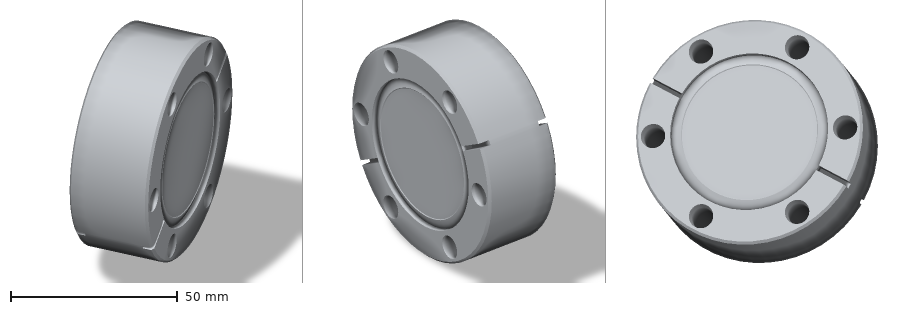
import cadquery as cq
import math

flange_diameter = 69.34
flange_thickness = 25.4
rim_chamfer = 0.76

recess_diameter = 48.3
recess_wall_lean = 0.15
knife_diameter = 41.9
knife_tip_depth = 0.65
knife_slope_angle = 20.0
knife_inner_lean = 0.25
centre_floor_depth = 0.85

bolt_count = 6
bolt_circle_diameter = 58.7
bolt_hole_diameter = 6.7
bolt_mouth_diameter = 7.45
bolt_mouth_depth = 3.0

groove_angle = 30.0
groove_count = 2
groove_width = 1.6
groove_depth = 3.5

half_thickness = flange_thickness / 2
flange_radius = flange_diameter / 2
recess_radius = recess_diameter / 2
knife_radius = knife_diameter / 2


def make_body():
    """Plain disc with chamfered rims."""
    disc = cq.Workplane("YZ", origin=(-half_thickness, 0, 0)).circle(flange_radius).extrude(flange_thickness)
    return disc.faces("<X or >X").edges().chamfer(rim_chamfer)


def make_seal_recess():
    """Material removed around the knife edge on the -X face, revolved about the X axis."""
    recess_bottom_radius = recess_radius - recess_wall_lean
    slope_drop = (recess_bottom_radius - knife_radius) * math.tan(math.radians(knife_slope_angle))
    face_x = -half_thickness
    knife_x = face_x + knife_tip_depth
    profile = (
        cq.Workplane("XY")
        .moveTo(face_x, 0)
        .lineTo(face_x, recess_radius)
        .lineTo(knife_x + slope_drop, recess_bottom_radius)
        .lineTo(knife_x, knife_radius)
        .lineTo(face_x + centre_floor_depth, knife_radius - knife_inner_lean)
        .lineTo(face_x + centre_floor_depth, 0)
        .close()
    )
    return profile.revolve(360, (0, 0, 0), (1, 0, 0))


def make_bolt_mouths():
    """Tapered mouths of the bolt holes on the -X face."""
    taper = math.degrees(math.atan((bolt_mouth_diameter - bolt_hole_diameter) / 2 / bolt_mouth_depth))
    return (
        cq.Workplane("YZ", origin=(-half_thickness, 0, 0))
        .polarArray(bolt_circle_diameter / 2, 0, 360, bolt_count)
        .circle(bolt_mouth_diameter / 2)
        .extrude(bolt_mouth_depth, taper=taper)
    )


def make_bolt_holes():
    """Bolt holes through the full thickness."""
    return (
        cq.Workplane("YZ", origin=(-half_thickness, 0, 0))
        .polarArray(bolt_circle_diameter / 2, 0, 360, bolt_count)
        .circle(bolt_hole_diameter / 2)
        .extrude(flange_thickness)
    )


def make_leak_groove(angle):
    """Radial groove on the -X face, from the wall of the seal recess out through the rim."""
    bar = cq.Workplane("XY").box(groove_depth, flange_radius, groove_width, centered=(False, False, True))
    bar = bar.translate((-half_thickness, 0, 0)).rotate((0, 0, 0), (1, 0, 0), angle)
    core = cq.Workplane("YZ", origin=(-half_thickness, 0, 0)).circle(recess_radius).extrude(groove_depth)
    return bar.cut(core)


def cut_both_faces(body, cutter):
    """Cut a -X face feature and its mirror image on the +X face."""
    return body.cut(cutter).cut(cutter.mirror("YZ"))


result = make_body().cut(make_bolt_holes())
result = cut_both_faces(result, make_seal_recess())
result = cut_both_faces(result, make_bolt_mouths())
for index in range(groove_count):
    result = cut_both_faces(result, make_leak_groove(groove_angle + index * 360 / groove_count))